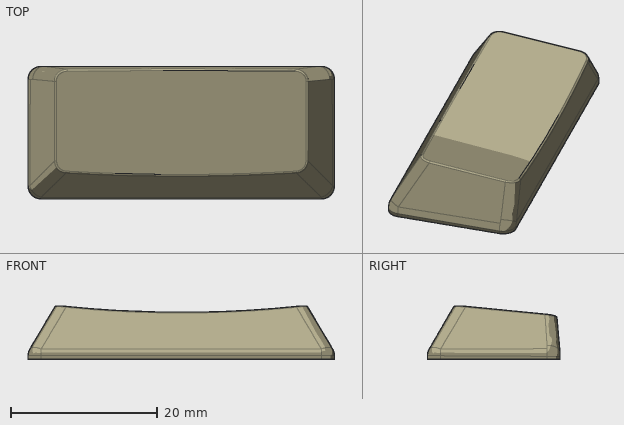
import cadquery as cq
import math

LENGTH = 41.95
DEPTH = 18.17
SKIRT_HEIGHT = 1.0

TOP_LENGTH = 34.35
TOP_CENTER_HEIGHT = 7.1
TOP_TILT = 5.6
FRONT_LEAN = 30.0
BACK_LEAN = 5.0

DISH_RADIUS = 146.9
DISH_CENTER_HEIGHT = 5.9

WALL_RADIUS = 1.8
RIM_RADIUS = 0.3

CUT_MARGIN = 4.2


def top_edge_y(side, lean):
    """Y where a leaning wall meets the tilted top plane (side: -1 front, +1 back)."""
    wall_slope = math.tan(math.radians(lean))
    top_slope = math.tan(math.radians(TOP_TILT))
    inset_at_center_height = (TOP_CENTER_HEIGHT - SKIRT_HEIGHT) * wall_slope
    return side * (DEPTH / 2 - inset_at_center_height) / (1 - side * wall_slope * top_slope)


def rectangle_wire(length, front_y, back_y, center_height, slope):
    """Closed rectangle, centred in X, on a plane falling towards the back."""
    corners = []
    for x, y in (
        (-length / 2, front_y),
        (length / 2, front_y),
        (length / 2, back_y),
        (-length / 2, back_y),
    ):
        corners.append(cq.Vector(x, y, center_height - y * slope))
    return cq.Wire.makePolygon(corners, close=True)


def make_sharp_body():
    """Straight skirt with ruled walls leaning in to the tilted top, all edges sharp."""
    skirt = cq.Workplane("XY").box(LENGTH, DEPTH, SKIRT_HEIGHT, centered=(True, True, False))
    lower = rectangle_wire(LENGTH, -DEPTH / 2, DEPTH / 2, SKIRT_HEIGHT, 0)
    upper = rectangle_wire(
        TOP_LENGTH,
        top_edge_y(-1, FRONT_LEAN),
        top_edge_y(1, BACK_LEAN),
        TOP_CENTER_HEIGHT,
        math.tan(math.radians(TOP_TILT)),
    )
    walls = cq.Workplane(cq.Solid.makeLoft([lower, upper], True))
    return skirt.union(walls)


def round_walls(body):
    """Round every edge that is neither on the base nor around the top face."""
    base_edges = body.faces("<Z").edges().vals()
    top_edges = body.faces(">Z").edges().vals()
    kept_sharp = base_edges + top_edges
    wall_edges = []
    for edge in body.edges().vals():
        if not any(edge.isSame(sharp) for sharp in kept_sharp):
            wall_edges.append(edge)
    return body.newObject(wall_edges).fillet(WALL_RADIUS)


def make_dish_cutter():
    """Solid above the tilted cylindrical top surface."""
    half_length = LENGTH / 2 + CUT_MARGIN
    end_rise = DISH_RADIUS - math.sqrt(DISH_RADIUS**2 - half_length**2)
    cutter_top = end_rise + CUT_MARGIN
    cutter = (
        cq.Workplane("XZ")
        .moveTo(-half_length, end_rise)
        .threePointArc((0, 0), (half_length, end_rise))
        .lineTo(half_length, cutter_top)
        .lineTo(-half_length, cutter_top)
        .close()
        .extrude(DEPTH / 2 + CUT_MARGIN, both=True)
    )
    return cutter.rotate((0, 0, 0), (1, 0, 0), -TOP_TILT).translate((0, 0, DISH_CENTER_HEIGHT))


body = round_walls(make_sharp_body())
body = body.cut(make_dish_cutter())
result = body.faces(">Z").edges().fillet(RIM_RADIUS)